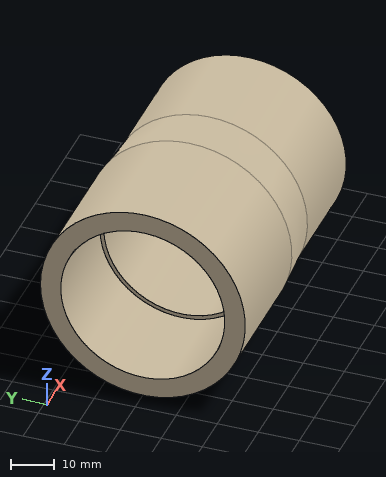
import cadquery as cq

total_length = 70.0
large_end_length = 31.0
taper_length = 13.0
large_bore_depth = 26.0
large_outer_diameter = 50.0
small_outer_diameter = 48.0
large_bore_diameter = 40.0
small_bore_diameter = 38.0

taper_end = large_end_length + taper_length


def cylinder(diameter, start, end):
    """Cylinder about the X axis between two X positions."""
    return cq.Workplane("YZ", origin=(start, 0, 0)).circle(diameter / 2).extrude(end - start)


large_end = cylinder(large_outer_diameter, 0, large_end_length)
small_end = cylinder(small_outer_diameter, taper_end, total_length)
taper = cq.Workplane(
    cq.Solid.makeCone(
        large_outer_diameter / 2,
        small_outer_diameter / 2,
        taper_length,
        pnt=cq.Vector(large_end_length, 0, 0),
        dir=cq.Vector(1, 0, 0),
    )
)
body = large_end.union(taper).union(small_end)

small_bore = cylinder(small_bore_diameter, 0, total_length)
large_bore = cylinder(large_bore_diameter, 0, large_bore_depth)
result = body.cut(small_bore).cut(large_bore)